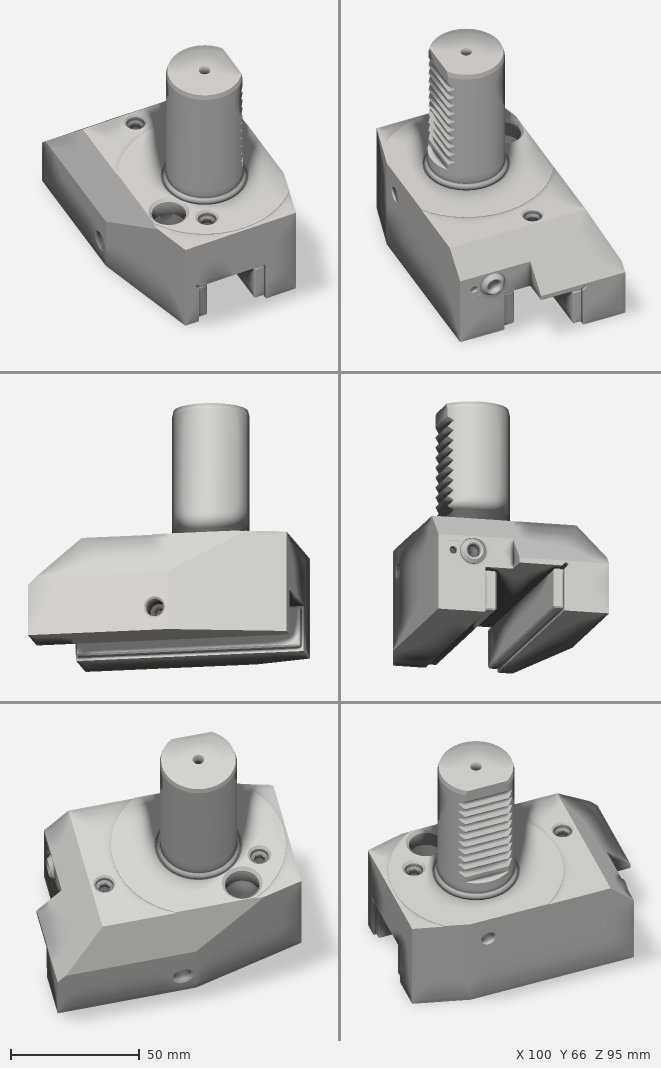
import cadquery as cq
import math


left_x = -65.0
right_x = 35.0
front_y = -38.0
back_y = 28.0
bottom_z = -40.0
block_top_z = -0.3
taper_slope = math.tan(math.radians(15))
front_taper_x = -9.8
back_taper_x = 13.0
notch_x = -55.0
notch_y = -2.0
left_bevel_z = -20.0
front_bevel_y = -30.0
front_bevel_z = -16.8
cut_margin = 5.0

slot_front_y = -20.0
slot_back_y = 9.0
slot_top_z = -22.0
relief_width = 1.5
relief_reach = 1.9
relief_drop = 0.2

disc_radius = 34.0
seal_section_radius = 1.5
seal_center_radius = 14.8
seal_groove_radius = 16.6
seal_groove_depth = seal_section_radius
seal_groove_chamfer = 0.5

shank_radius = 15.0
shank_top_z = 55.0
shank_chamfer_height = 2.0
shank_chamfer_width = 0.5
neck_radius = 14.9
neck_top_z = 2.3
flat_y = 12.0
flat_bottom_z = 7.0
tooth_depth = 2.0
tooth_pitch = 2 * tooth_depth
tooth_count = 10
lowest_tooth_root_z = 11.7
center_mouth_radius = 2.3
center_bore_radius = 1.0
center_cone_depth = 2.2
center_bore_depth = 5.0

top_screw_xs = (-39.8, 22.0)
top_screw_y = -10.0
top_mouth_radius = 4.6
top_bore_radius = 3.6
top_bore_depth = 2.5
top_socket_width = 4.0
front_mouth_radius = 4.2
front_bore_radius = 3.5
front_bore_depth = 10.0
front_socket_width = 3.0
socket_depth = 2.5
socket_chamfer = 0.4

inlet_x = 12.4
inlet_y = -21.8
inlet_mouth_radius = 7.9
inlet_radius = 6.7
inlet_depth = 7.5
drill_cone_slope = math.tan(math.radians(31))
channel_x = 5.5
channel_z = -10.0
channel_radius = 3.0
channel_end_y = -22.0

nozzle_y = 14.0
plug_y = 22.0
outlet_z = -16.0
nozzle_radius = 5.0
nozzle_tip_radius = 3.6
nozzle_height = 1.6
nozzle_seat_radius = 5.3
nozzle_seat_depth = 0.5
nozzle_mouth_radius = 3.2
nozzle_bore_radius = 2.7
nozzle_bore_depth = 4.0
plug_radius = 3.9
plug_recess_depth = 0.1
plug_hole_radius = 1.5
plug_hole_depth = 3.0

pad_height = 15.8
pad_middle_z = -31.0
pad_end_gap = 0.6
pad_chamfer = 0.6
front_pad_thickness = 4.1
back_pad_thickness = 4.6


def turned(profile):
    """Solid of revolution about Z from (radius, z) points."""
    return cq.Workplane("XZ").polyline(profile).close().revolve(360, (0, 0), (0, 1))


def facing_left(shape, x, y, z):
    """Turn a shape built along +Z so that it points along -X from the given place."""
    return shape.rotate((0, 0, 0), (0, 1, 0), -90).translate((x, y, z))


def make_block():
    front_taper_end_y = front_y + (right_x - front_taper_x) * taper_slope
    back_taper_end_y = back_y - (right_x - back_taper_x) * taper_slope
    outline = [
        (left_x, front_y),
        (front_taper_x, front_y),
        (right_x, front_taper_end_y),
        (right_x, back_taper_end_y),
        (back_taper_x, back_y),
        (notch_x, back_y),
        (notch_x, notch_y),
        (left_x, notch_y),
    ]
    full = cq.Workplane("XY").workplane(offset=bottom_z).polyline(outline).close().extrude(-bottom_z)
    outside_disc = (
        cq.Workplane("XY")
        .workplane(offset=block_top_z)
        .rect(4 * disc_radius, 4 * disc_radius)
        .circle(disc_radius)
        .extrude(-block_top_z)
    )
    return full.cut(outside_disc).cut(left_bevel()).cut(front_bevel())


def left_bevel():
    """Wedge above the 45 degree slope on the left."""
    low_x = left_x - cut_margin
    high_x = left_x - left_bevel_z + cut_margin
    points = [(low_x, left_bevel_z - cut_margin), (high_x, cut_margin), (low_x, cut_margin)]
    return cq.Workplane("XZ").workplane(offset=-back_y).polyline(points).close().extrude(back_y - front_y)


def front_bevel():
    """Wedge above the steep slope along the front."""
    lean = (front_bevel_y - front_y) / -front_bevel_z
    low_z = front_bevel_z - cut_margin
    points = [
        (front_y - cut_margin * lean, low_z),
        (front_bevel_y + cut_margin * lean, cut_margin),
        (front_y - cut_margin * lean, cut_margin),
    ]
    return cq.Workplane("YZ").workplane(offset=left_x).polyline(points).close().extrude(right_x - left_x)


def tool_slot():
    length = right_x - left_x
    slot = cq.Workplane("XY").box(
        length, slot_back_y - slot_front_y, slot_top_z - bottom_z, centered=False
    ).translate((left_x, slot_front_y, bottom_z))
    relief = (
        cq.Workplane("YZ")
        .workplane(offset=left_x)
        .center(slot_front_y, slot_top_z - relief_drop)
        .transformed(rotate=(0, 0, 135))
        .slot2D(2 * relief_reach, relief_width)
        .extrude(length)
    )
    return slot.union(relief)


def make_shank():
    top_radius = shank_radius - shank_chamfer_width
    shank = turned([
        (0, -seal_groove_depth),
        (neck_radius, -seal_groove_depth),
        (neck_radius, neck_top_z),
        (shank_radius, neck_top_z),
        (shank_radius, shank_top_z - shank_chamfer_height),
        (top_radius, shank_top_z),
        (0, shank_top_z),
    ])
    return shank.cut(toothed_flat()).cut(center_hole())


def toothed_flat():
    depth = shank_radius - flat_y
    width = 2 * shank_radius
    cutter = cq.Workplane("XY").box(
        width, depth, shank_top_z - flat_bottom_z, centered=(True, False, False)
    ).translate((0, flat_y, flat_bottom_z))
    for tooth in range(tooth_count):
        root_z = lowest_tooth_root_z + tooth * tooth_pitch
        points = [
            (flat_y, root_z - tooth_depth),
            (flat_y - tooth_depth, root_z),
            (flat_y, root_z + tooth_depth),
        ]
        cutter = cutter.union(
            cq.Workplane("YZ").polyline(points).close().extrude(shank_radius, both=True)
        )
    return cutter


def center_hole():
    return turned([
        (0, shank_top_z),
        (center_mouth_radius, shank_top_z),
        (center_bore_radius, shank_top_z - center_cone_depth),
        (center_bore_radius, shank_top_z - center_bore_depth),
        (0, shank_top_z - center_bore_depth),
    ])


def seal_groove():
    return turned([
        (0, 0),
        (seal_groove_radius + seal_groove_chamfer, 0),
        (seal_groove_radius, -seal_groove_chamfer),
        (seal_groove_radius, -seal_groove_depth),
        (0, -seal_groove_depth),
    ])


def seal_ring():
    return (
        cq.Workplane("XZ")
        .center(seal_center_radius, 0)
        .circle(seal_section_radius)
        .revolve(360, (-seal_center_radius, 0), (-seal_center_radius, 1))
    )


def screw_recess(mouth_radius, bore_radius, bore_depth, socket_width):
    """Bore going down from Z = 0, with a hexagon socket in the screw face at its floor."""
    socket_radius = socket_width / math.sqrt(3)
    mouth_depth = mouth_radius - bore_radius
    bore = turned([
        (0, 0),
        (mouth_radius, 0),
        (bore_radius, -mouth_depth),
        (bore_radius, -bore_depth),
        (socket_radius + socket_chamfer, -bore_depth),
        (socket_radius, -bore_depth - socket_chamfer),
        (0, -bore_depth - socket_chamfer),
    ])
    socket = (
        cq.Workplane("XY")
        .workplane(offset=-bore_depth)
        .polygon(6, 2 * socket_radius)
        .extrude(-socket_depth)
    )
    return bore.union(socket)


def drilled_hole(radius, depth):
    """Plain hole going down from Z = 0 to a conical drill point."""
    return turned([
        (0, 0),
        (radius, 0),
        (radius, -depth),
        (0, -depth - radius * drill_cone_slope),
    ])


def chamfered_hole(radius, depth, mouth_radius):
    """Drilled hole with a 45 degree chamfer at its mouth."""
    chamfer = turned([(0, 0), (mouth_radius, 0), (0, -mouth_radius)])
    return drilled_hole(radius, depth).union(chamfer)


def coolant_inlet():
    """Inlet bore, met by a channel drilled from the back face."""
    inlet = chamfered_hole(inlet_radius, inlet_depth, inlet_mouth_radius)
    channel = drilled_hole(channel_radius, back_y - channel_end_y).rotate((0, 0, 0), (1, 0, 0), -90)
    return inlet.translate((inlet_x, inlet_y, 0)).union(channel.translate((channel_x, back_y, channel_z)))


def nozzle_seat():
    seat = cq.Workplane("XY").circle(nozzle_seat_radius).extrude(-nozzle_seat_depth)
    return facing_left(seat, notch_x, nozzle_y, outlet_z)


def plug_recess():
    recess = cq.Workplane("XY").circle(plug_radius).extrude(-plug_recess_depth)
    hole = cq.Workplane("XY").circle(plug_hole_radius).extrude(-plug_hole_depth)
    return facing_left(recess.union(hole), notch_x, plug_y, outlet_z)


def nozzle():
    body = turned([
        (0, -nozzle_seat_depth),
        (nozzle_radius, -nozzle_seat_depth),
        (nozzle_radius, 0),
        (nozzle_tip_radius, nozzle_height),
        (0, nozzle_height),
    ])
    return facing_left(body, notch_x, nozzle_y, outlet_z)


def nozzle_bore():
    bore = chamfered_hole(nozzle_bore_radius, nozzle_bore_depth, nozzle_mouth_radius)
    return facing_left(bore, notch_x - nozzle_height, nozzle_y, outlet_z)


def make_housing():
    body = make_block().cut(tool_slot()).cut(seal_groove())
    body = body.union(make_shank()).union(seal_ring())
    body = body.cut(coolant_inlet())
    top_recess = screw_recess(top_mouth_radius, top_bore_radius, top_bore_depth, top_socket_width)
    for x in top_screw_xs:
        body = body.cut(top_recess.translate((x, top_screw_y, 0)))
    front_recess = screw_recess(
        front_mouth_radius, front_bore_radius, front_bore_depth, front_socket_width
    ).rotate((0, 0, 0), (1, 0, 0), 90)
    pad_middle_x = (left_x + right_x) / 2
    body = body.cut(front_recess.translate((pad_middle_x, front_y, pad_middle_z)))
    body = body.cut(plug_recess()).cut(nozzle_seat())
    return body.union(nozzle()).cut(nozzle_bore())


def make_pad(leg_end_x, low_y, high_y):
    """Chamfered bar along a slot wall, set in from both ends of its leg."""
    start_x = leg_end_x + pad_end_gap
    length = right_x - pad_end_gap - start_x
    bar = cq.Workplane("XY").box(length, high_y - low_y, pad_height).edges().chamfer(pad_chamfer)
    return bar.translate((start_x + length / 2, (low_y + high_y) / 2, pad_middle_z))


housing = make_housing()
pad_places = [
    (left_x, slot_front_y, slot_front_y + front_pad_thickness),
    (notch_x, slot_back_y - back_pad_thickness, slot_back_y),
]
pads = [make_pad(*place).val() for place in pad_places]

result = cq.Compound.makeCompound([housing.val(), *pads])